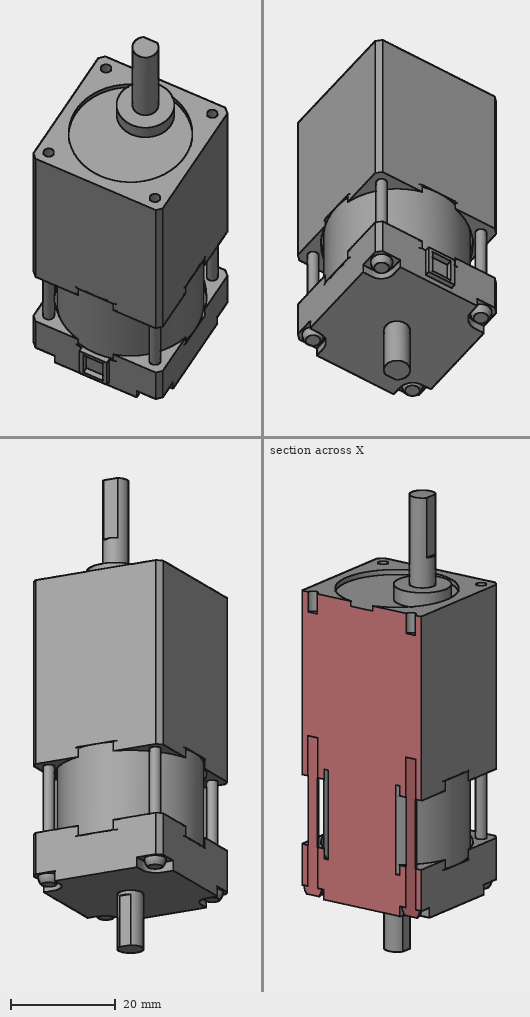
import cadquery as cq

SIDE = 28.0
HALF_SIDE = SIDE / 2
CORNER_CHAMFER = 1.0

BODY_HEIGHT = 61.0
REAR_CAP_HEIGHT = 10.3
GEAR_BLOCK_HEIGHT = 36.9
GEAR_BLOCK_BASE = BODY_HEIGHT - GEAR_BLOCK_HEIGHT

CAN_DIAMETER = SIDE
SEAT_DIAMETER = 29.0
SEAT_DEPTH = 2.0
SEAT_FLOOR = REAR_CAP_HEIGHT - SEAT_DEPTH
CAN_LENGTH = GEAR_BLOCK_BASE + SEAT_DEPTH - SEAT_FLOOR

DISH_DIAMETER = 23.6
DISH_DEPTH = 1.0
BOSS_DIAMETER = 11.0
BOSS_HEIGHT = 2.0
SHAFT_DIAMETER = 5.0
OUTPUT_OFFSET = 6.0
OUTPUT_LENGTH = 20.0
OUTPUT_FLAT_LENGTH = 12.0
OUTPUT_FLAT_DEPTH = 0.5

REAR_SHAFT_LENGTH = 11.0
REAR_FLAT_LENGTH = 10.2
REAR_FLAT_DEPTH = 0.3

CORNER_PITCH = 23.0
CORNER_POINTS = [(sx * CORNER_PITCH / 2, sy * CORNER_PITCH / 2) for sx in (-1, 1) for sy in (-1, 1)]
MOUNT_HOLE_DIAMETER = 2.0
MOUNT_HOLE_DEPTH = 4.0

SCREW_DIAMETER = 2.2
SCREW_BITE = 8.0
HEAD_RADIUS = 2.1
HEAD_TIP_RADIUS = 1.4
HEAD_SHOULDER_RADIUS = 1.9
HEAD_HEIGHT = 1.6
HEAD_SHOULDER_HEIGHT = 0.9
RECESS_SIZE = 5.1
RECESS_RADIUS = 3.0
RECESS_DEPTH = 2.0

PLUG_WIDTH = 6.0
PLUG_BASE = 1.4
PLUG_HEIGHT = SEAT_FLOOR - PLUG_BASE
PLUG_PROJECTION = 1.0
SOCKET_WIDTH = 4.2
SOCKET_HEIGHT = 5.3
SOCKET_DEPTH = 1.2


def square_block(base, height):
    block = cq.Workplane("XY").workplane(offset=base).rect(SIDE, SIDE).extrude(height)
    return block.edges("|Z").chamfer(CORNER_CHAMFER)


def cylinder(diameter, base, height, x=0, y=0):
    return cq.Workplane("XY", origin=(x, y, base)).circle(diameter / 2).extrude(height)


def flatted_shaft(y, base, length, flat_base, flat_length, flat_depth):
    """Round shaft with a flat milled on its +Y side."""
    shaft = cylinder(SHAFT_DIAMETER, base, length, y=y)
    cutter = cq.Workplane("XY").box(
        SHAFT_DIAMETER, SHAFT_DIAMETER, flat_length, centered=(True, False, False)
    )
    return shaft.cut(cutter.translate((0, y + SHAFT_DIAMETER / 2 - flat_depth, flat_base)))


def gear_block():
    block = square_block(GEAR_BLOCK_BASE, GEAR_BLOCK_HEIGHT)
    block = block.cut(cylinder(SEAT_DIAMETER, GEAR_BLOCK_BASE, SEAT_DEPTH))
    block = block.cut(cylinder(DISH_DIAMETER, BODY_HEIGHT - DISH_DEPTH, DISH_DEPTH))
    hole_floor = BODY_HEIGHT - MOUNT_HOLE_DEPTH
    for x, y in CORNER_POINTS:
        block = block.cut(cylinder(MOUNT_HOLE_DIAMETER, hole_floor, MOUNT_HOLE_DEPTH, x, y))
    boss = cylinder(BOSS_DIAMETER, BODY_HEIGHT - DISH_DEPTH, DISH_DEPTH + BOSS_HEIGHT, y=OUTPUT_OFFSET)
    flat_base = BODY_HEIGHT + OUTPUT_LENGTH - OUTPUT_FLAT_LENGTH
    shaft = flatted_shaft(
        OUTPUT_OFFSET, BODY_HEIGHT, OUTPUT_LENGTH, flat_base, OUTPUT_FLAT_LENGTH, OUTPUT_FLAT_DEPTH
    )
    return block.union(boss).union(shaft)


def screw_recess(x, y):
    """Corner recess open to both side faces, with a rounded inner corner."""
    side_x = 1 if x > 0 else -1
    side_y = 1 if y > 0 else -1
    centre = (side_x * (HALF_SIDE - RECESS_SIZE / 2), side_y * (HALF_SIDE - RECESS_SIZE / 2))
    recess = cq.Workplane("XY").center(*centre).rect(RECESS_SIZE, RECESS_SIZE).extrude(RECESS_DEPTH)
    inner_corner = cq.NearestToPointSelector((0, 0, RECESS_DEPTH / 2))
    return recess.edges("|Z").edges(inner_corner).fillet(RECESS_RADIUS)


def rear_cap():
    cap = square_block(0, REAR_CAP_HEIGHT)
    cap = cap.cut(cylinder(SEAT_DIAMETER, SEAT_FLOOR, SEAT_DEPTH))
    for x, y in CORNER_POINTS:
        cap = cap.cut(screw_recess(x, y))

    plug_face = -HALF_SIDE - PLUG_PROJECTION
    plug = cq.Workplane("XY").box(PLUG_WIDTH, PLUG_PROJECTION, PLUG_HEIGHT, centered=(True, False, False))
    cap = cap.union(plug.translate((0, plug_face, PLUG_BASE)))
    socket = cq.Workplane("XY").box(SOCKET_WIDTH, SOCKET_DEPTH, SOCKET_HEIGHT, centered=(True, False, False))
    socket_base = PLUG_BASE + (PLUG_HEIGHT - SOCKET_HEIGHT) / 2
    return cap.cut(socket.translate((0, plug_face, socket_base)))


def screw(x, y):
    """Long screw running from its recess, past the can and into the gear block."""
    shank = cylinder(SCREW_DIAMETER, RECESS_DEPTH, GEAR_BLOCK_BASE + SCREW_BITE - RECESS_DEPTH, x, y)
    head = (
        cq.Workplane("XZ")
        .moveTo(0, RECESS_DEPTH)
        .lineTo(HEAD_RADIUS, RECESS_DEPTH)
        .threePointArc(
            (HEAD_SHOULDER_RADIUS, RECESS_DEPTH - HEAD_SHOULDER_HEIGHT),
            (HEAD_TIP_RADIUS, RECESS_DEPTH - HEAD_HEIGHT),
        )
        .lineTo(0, RECESS_DEPTH - HEAD_HEIGHT)
        .close()
        .revolve()
    )
    return shank.union(head.translate((x, y, 0)))


def gear_motor(screws):
    """Gear block, can, rear cap and shafts as one body, bored for the screws."""
    can = cylinder(CAN_DIAMETER, SEAT_FLOOR, CAN_LENGTH)
    rear_shaft = flatted_shaft(
        0, -REAR_SHAFT_LENGTH, REAR_SHAFT_LENGTH, -REAR_SHAFT_LENGTH, REAR_FLAT_LENGTH, REAR_FLAT_DEPTH
    )
    motor = rear_cap().union(can).union(gear_block()).union(rear_shaft)
    for fitted_screw in screws:
        motor = motor.cut(fitted_screw)
    return motor


screws = [screw(x, y) for x, y in CORNER_POINTS]
motor = gear_motor(screws)

result = cq.Compound.makeCompound([motor.val(), *[fitted_screw.val() for fitted_screw in screws]])